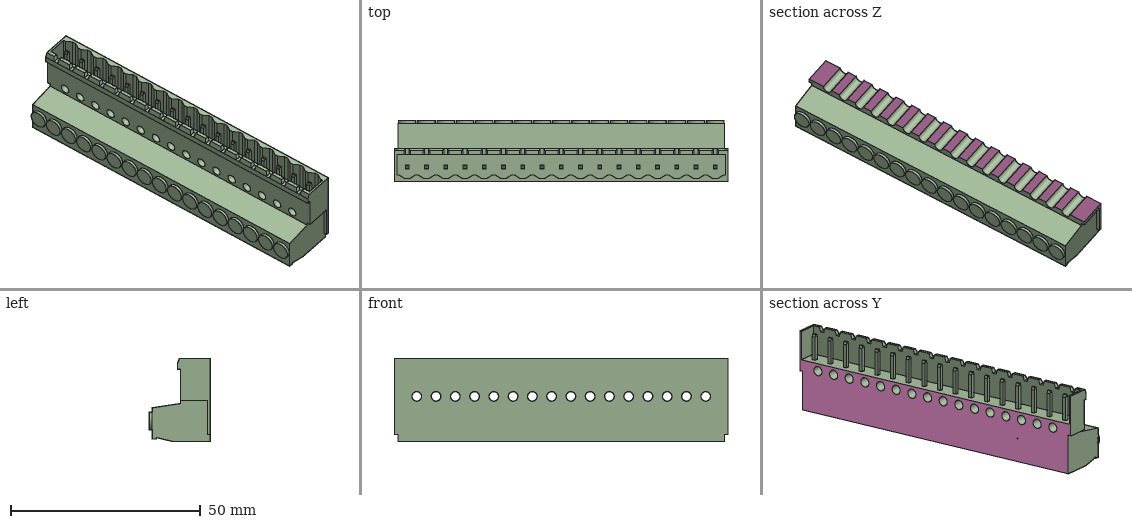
import cadquery as cq

length = 88.0
height = 22.0
shell_depth = 7.9

pole_count = 17
pole_span = 81.3
pitch = pole_span / (pole_count - 1)
pole_xs = [-pole_span / 2 + i * pitch for i in range(pole_count)]
gap_xs = [x + pitch / 2 for x in pole_xs[:-1]]

end_inset = 0.9
front_skin = 0.8
front_skin_bottom = 1.85
shell_bottom = 10.8
body_back = 15.4
body_ridge_z = 10.1
body_back_top = 9.0
body_back_bottom = 0.7
lip_y = 14.25
lip_z = 1.05
slope_start_y = 9.8

rail_back = 8.7
rail_bottom = 19.1
rail_chamfer_y = 0.5
rail_chamfer_z = 1.2

cavity_floor = 14.1
end_wall = 0.6
cavity_back = 7.2
rib_y = 1.8
scallop_y = 0.8
scallop_floor_width = 1.05
rib_width = 0.9

notch_top_width = 1.8
notch_floor_width = 1.0
notch_depth = 1.2

pin_y = 3.9
pin_size = 1.0
pin_top = 21.2
pin_tip_height = 0.7
pin_tip_taper = 0.3

hole_diameter = 2.5
hole_z = 12.0
screw_diameter = 4.7
screw_z = 5.45
screw_back = 16.2


def prism(points, width):
    """Extrude a (y, z) outline along X, symmetric about the YZ plane."""
    return cq.Workplane("YZ").polyline(points).close().extrude(width / 2, both=True)


def make_clamp_body():
    outline = [
        (0, 0),
        (slope_start_y, 0),
        (lip_y, lip_z),
        (lip_y, body_back_bottom),
        (body_back, body_back_bottom),
        (body_back, body_back_top),
        (shell_depth, body_ridge_z),
        (shell_depth, shell_bottom),
        (0, shell_bottom),
    ]
    return prism(outline, length - 2 * end_inset)


def make_shell():
    outline = [
        (0, front_skin_bottom),
        (front_skin, front_skin_bottom),
        (front_skin, shell_bottom),
        (shell_depth, shell_bottom),
        (shell_depth, rail_bottom),
        (rail_back, rail_bottom),
        (rail_back, height - rail_chamfer_z),
        (rail_back - rail_chamfer_y, height),
        (0, height),
    ]
    return prism(outline, length)


def make_cavity():
    """Pocket whose front side widens into a trapezoidal scallop around every contact."""
    half = length / 2 - end_wall
    scallop_half = (pitch - rib_width) / 2
    floor_half = scallop_floor_width / 2
    outline = [(half, rib_y), (half, cavity_back), (-half, cavity_back), (-half, rib_y)]
    for x in pole_xs:
        outline += [
            (x - scallop_half, rib_y),
            (x - floor_half, scallop_y),
            (x + floor_half, scallop_y),
            (x + scallop_half, rib_y),
        ]
    profile = cq.Workplane("XY").workplane(offset=cavity_floor).polyline(outline).close()
    return profile.extrude(height - cavity_floor)


def make_notch(x):
    """Notch through the rear wall whose sides flare out towards the top."""
    floor_z = height - notch_depth
    outline = [
        (x - notch_floor_width / 2, floor_z),
        (x + notch_floor_width / 2, floor_z),
        (x + notch_top_width / 2, height),
        (x - notch_top_width / 2, height),
    ]
    profile = cq.Workplane("XZ").workplane(offset=-rail_back).polyline(outline).close()
    return profile.extrude(rail_back - cavity_back)


def make_pin(x):
    """Square pin with a tip that tapers on its front and rear faces."""
    half = pin_size / 2
    shoulder_z = pin_top - pin_tip_height
    tip_half = half - pin_tip_taper
    outline = [
        (pin_y - half, cavity_floor),
        (pin_y + half, cavity_floor),
        (pin_y + half, shoulder_z),
        (pin_y + tip_half, pin_top),
        (pin_y - tip_half, pin_top),
        (pin_y - half, shoulder_z),
    ]
    return prism(outline, pin_size).translate((x, 0, 0))


def cylinder_along_y(diameter, y_start, y_end, x, z):
    length_y = y_end - y_start
    start = cq.Vector(x, y_start, z)
    return cq.Workplane(cq.Solid.makeCylinder(diameter / 2, length_y, start, cq.Vector(0, 1, 0)))


def make_screw(x):
    return cylinder_along_y(screw_diameter, body_back, screw_back, x, screw_z)


def make_cross_hole(x):
    return cylinder_along_y(hole_diameter, 0, shell_depth, x, hole_z)


result = make_clamp_body().union(make_shell()).cut(make_cavity())

for x in pole_xs:
    result = result.cut(make_notch(x)).union(make_pin(x)).union(make_screw(x))

for x in gap_xs:
    result = result.cut(make_cross_hole(x))